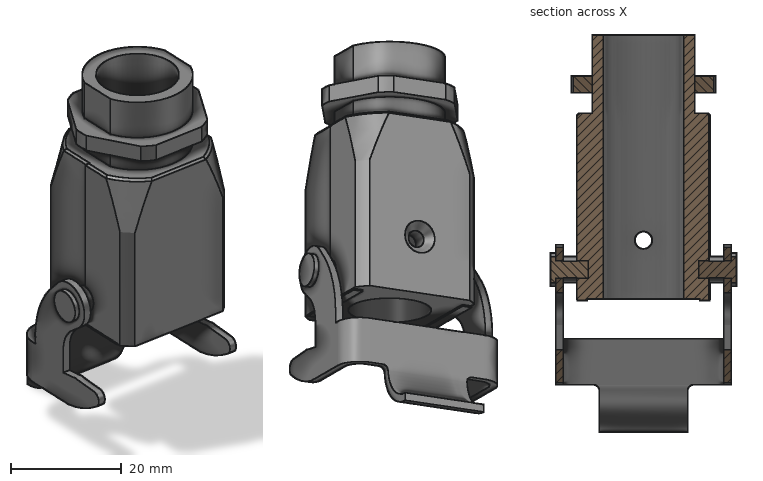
import cadquery as cq
import math


OVERSHOOT = 0.7

HOUSING_WIDTH = 23.95
HALF_SHIFT = 0.11
HOUSING_BOTTOM = 24.0
HOUSING_TOP = 57.6
TAPER_START = 47.75
CORNER_RADIUS = 15.7
SHOULDER_RADIUS = 13.4
TOP_CHAMFER = 0.4
FOOT_LENGTH = 18.15
FOOT_DEPTH = 1.85
FOOT_HEIGHT = 0.3
BORE_DIAMETER = 15.0

NECK_TOP = 71.7
NECK_DIAMETER = 20.0
NECK_FLATS = 18.6
NUT_BOTTOM = 61.2
NUT_TOP = 64.3
NUT_FLATS = 23.95
NUT_CORNER_DIAMETER = 26.2

SCREW_HEIGHT = 34.6
SCREW_DIAMETER = 3.1
SCREW_HEAD_DIAMETER = 6.0

STRAP_THICKNESS = 1.4
STRAP_BACK = -15.0
STRAP_WIDTH = 31.75
STRAP_BEND_RADIUS = 4.4
STRAP_BOTTOM = 8.5
STRAP_TOP = 16.85

HINGE_HEIGHT = 29.3
EYE_RADIUS = 4.5
EYE_BACK_ANGLE = 132
EYE_FRONT_ANGLE = -54
ARM_BACK = -9.7
ARM_FRONT = -1.6
BACK_ARC_START = (ARM_BACK, 18.7)
BACK_ARC_END = (-4.2, 31.4)
FRONT_ARC_START = (1.1, 24.5)
FRONT_ARC_END = (ARM_FRONT, 19.3)
HOOK_ROOT = (ARM_FRONT, 14.5)
HOOK_CREST_START = (1.1, 14.8)
HOOK_CREST_TOP = (1.8, 14.9)
HOOK_CREST_END = (2.5, 14.85)
HOOK_NOSE_START = (7.3, 14.55)
HOOK_NOSE_TIP = (8.7, 13.1)
HOOK_NOSE_END = (7.8, 11.6)
HOOK_BELLY = (3.95, 9.5)
HOOK_BELLY_END = (0.0, STRAP_BOTTOM)

GRIP_WIDTH = 16.0
GRIP_REACH = 8.25
GRIP_ROOT_FILLET = 1.1

PIN_DIAMETER = 4.8
PIN_HEAD_DIAMETER = 6.0
PIN_SPAN = 33.6
PIN_INNER_END = 10.05


def shifted_half(side):
    """Square half body on one X side of the seam, moved in Y to leave the step."""
    return (
        cq.Workplane("XY", origin=(0, 0, HOUSING_BOTTOM))
        .rect(HOUSING_WIDTH / 2, HOUSING_WIDTH)
        .extrude(HOUSING_TOP - HOUSING_BOTTOM)
        .translate((side * HOUSING_WIDTH / 4, -side * HALF_SHIFT, 0))
    )


def corner_envelope():
    """Cylinder with a conical top that rounds off the four corners of the body."""
    return (
        cq.Workplane("XZ")
        .moveTo(0, HOUSING_BOTTOM)
        .lineTo(CORNER_RADIUS, HOUSING_BOTTOM)
        .lineTo(CORNER_RADIUS, TAPER_START)
        .lineTo(SHOULDER_RADIUS, HOUSING_TOP)
        .lineTo(0, HOUSING_TOP)
        .close()
        .revolve(360, (0, 0, 0), (0, 1, 0))
    )


def feet():
    """Two low pads under the +Y and -Y sides."""
    foot_y = HOUSING_WIDTH / 2 - FOOT_DEPTH / 2
    return (
        cq.Workplane("XY", origin=(0, 0, HOUSING_BOTTOM))
        .pushPoints([(0, foot_y), (0, -foot_y)])
        .rect(FOOT_LENGTH, FOOT_DEPTH)
        .extrude(-FOOT_HEIGHT)
    )


def neck():
    """Round neck with a flat on its +Y and -Y sides."""
    height = NECK_TOP - HOUSING_TOP
    plane = cq.Workplane("XY", origin=(0, 0, HOUSING_TOP))
    flats = plane.rect(NECK_DIAMETER, NECK_FLATS).extrude(height)
    return plane.circle(NECK_DIAMETER / 2).extrude(height).intersect(flats)


def screw_hole():
    """Hole with a 45 degree countersink, from the -X face into the bore."""
    hole_radius = SCREW_DIAMETER / 2
    head_radius = SCREW_HEAD_DIAMETER / 2
    face = cq.Workplane("YZ", origin=(-HOUSING_WIDTH / 2, 0, SCREW_HEIGHT))
    hole = face.circle(hole_radius).extrude(HOUSING_WIDTH / 2)
    countersink = cq.Workplane(
        cq.Solid.makeCone(
            head_radius,
            hole_radius,
            head_radius - hole_radius,
            pnt=cq.Vector(-HOUSING_WIDTH / 2, 0, SCREW_HEIGHT),
            dir=cq.Vector(1, 0, 0),
        )
    )
    return hole.union(countersink)


def hinge_pin(side):
    """Headed pin on the hinge axis; side is +1 for +Y and -1 for -Y."""
    head_base = STRAP_WIDTH / 2
    shank = (
        cq.Workplane("XZ", origin=(0, side * PIN_INNER_END, HINGE_HEIGHT))
        .circle(PIN_DIAMETER / 2)
        .extrude(-side * (head_base - PIN_INNER_END))
    )
    head = (
        cq.Workplane("XZ", origin=(0, side * head_base, HINGE_HEIGHT))
        .circle(PIN_HEAD_DIAMETER / 2)
        .extrude(-side * (PIN_SPAN / 2 - head_base))
    )
    return shank.union(head)


def make_housing(pins):
    body = shifted_half(-1).union(shifted_half(1)).intersect(corner_envelope())
    body = body.faces(">Z").chamfer(TOP_CHAMFER).union(feet()).union(neck())
    bore = cq.Workplane("XY").circle(BORE_DIAMETER / 2).extrude(NECK_TOP + OVERSHOOT)
    body = body.cut(bore).cut(screw_hole())
    for pin in pins:
        body = body.cut(pin)
    return body


def make_nut():
    """Hexagon nut with rounded corners, its opening matching the neck."""
    height = NUT_TOP - NUT_BOTTOM
    plane = cq.Workplane("XY", origin=(0, 0, NUT_BOTTOM))
    hexagon_diameter = NUT_FLATS / math.cos(math.pi / 6)
    hexagon = plane.polygon(6, hexagon_diameter).extrude(height)
    hexagon = hexagon.rotate((0, 0, 0), (0, 0, 1), 30)
    blank = plane.circle(NUT_CORNER_DIAMETER / 2).extrude(height)
    return hexagon.intersect(blank).cut(neck())


def eye_point(angle):
    """Point (X, Z) on the lever eye at an angle in degrees from +X."""
    turn = math.radians(angle)
    return (EYE_RADIUS * math.cos(turn), HINGE_HEIGHT + EYE_RADIUS * math.sin(turn))


def lever_side_shape():
    """Side outline of arm, eye, hook and strap, as a block over the full width."""
    eye_middle_angle = (EYE_BACK_ANGLE + EYE_FRONT_ANGLE) / 2
    return (
        cq.Workplane("XZ")
        .moveTo(STRAP_BACK, STRAP_BOTTOM)
        .lineTo(STRAP_BACK, STRAP_TOP)
        .lineTo(ARM_BACK, STRAP_TOP)
        .lineTo(*BACK_ARC_START)
        .tangentArcPoint(BACK_ARC_END, relative=False)
        .lineTo(*eye_point(EYE_BACK_ANGLE))
        .threePointArc(eye_point(eye_middle_angle), eye_point(EYE_FRONT_ANGLE))
        .lineTo(*FRONT_ARC_START)
        .tangentArcPoint(FRONT_ARC_END, relative=False)
        .lineTo(*HOOK_ROOT)
        .lineTo(*HOOK_CREST_START)
        .threePointArc(HOOK_CREST_TOP, HOOK_CREST_END)
        .lineTo(*HOOK_NOSE_START)
        .threePointArc(HOOK_NOSE_TIP, HOOK_NOSE_END)
        .threePointArc(HOOK_BELLY, HOOK_BELLY_END)
        .close()
        .extrude(STRAP_WIDTH / 2, both=True)
    )


def bent_strap():
    """Tall U-shaped channel, open toward +X, that the side outline trims."""
    length = HOOK_NOSE_TIP[0] + OVERSHOOT - STRAP_BACK
    height = HINGE_HEIGHT + 2 * EYE_RADIUS
    outside = (
        cq.Workplane("XY")
        .box(length, STRAP_WIDTH, height, centered=(False, True, False))
        .edges("|Z and <X")
        .fillet(STRAP_BEND_RADIUS)
    )
    inside = (
        cq.Workplane("XY", origin=(STRAP_THICKNESS, 0, 0))
        .box(length, STRAP_WIDTH - 2 * STRAP_THICKNESS, height, centered=(False, True, False))
        .edges("|Z and <X")
        .fillet(STRAP_BEND_RADIUS - STRAP_THICKNESS)
    )
    return outside.cut(inside).translate((STRAP_BACK, 0, 0))


def finger_grip():
    """Strip below the strap, bent a quarter turn outward, with a flared root."""
    strap_front = STRAP_BACK + STRAP_THICKNESS
    tip = strap_front - GRIP_REACH
    outer_radius = (GRIP_REACH**2 + STRAP_BOTTOM**2) / (2 * STRAP_BOTTOM)
    inner_radius = outer_radius - STRAP_THICKNESS
    half_flare = GRIP_WIDTH / 2 + GRIP_ROOT_FILLET
    diagonal = math.sqrt(0.5)
    outer_middle = (tip + outer_radius * diagonal, outer_radius * (1 - diagonal))
    inner_middle = (tip + inner_radius * diagonal, outer_radius - inner_radius * diagonal)
    strip = (
        cq.Workplane("XZ")
        .moveTo(strap_front, STRAP_BOTTOM)
        .threePointArc(outer_middle, (tip, 0))
        .lineTo(tip, STRAP_THICKNESS)
        .threePointArc(inner_middle, (STRAP_BACK, STRAP_BOTTOM))
        .close()
        .extrude(half_flare, both=True)
    )
    for side in (-1, 1):
        edge = side * GRIP_WIDTH / 2
        corner = side * half_flare
        fillet_bottom = STRAP_BOTTOM - GRIP_ROOT_FILLET
        arc_inset = GRIP_ROOT_FILLET * (1 - diagonal)
        trim = (
            cq.Workplane("YZ", origin=(tip, 0, 0))
            .moveTo(edge, 0)
            .lineTo(edge, fillet_bottom)
            .threePointArc((edge + side * arc_inset, STRAP_BOTTOM - arc_inset), (corner, STRAP_BOTTOM))
            .lineTo(corner, 0)
            .close()
            .extrude(GRIP_REACH + OVERSHOOT)
        )
        strip = strip.cut(trim)
    return strip


def make_lever(pins):
    lever = lever_side_shape().intersect(bent_strap()).union(finger_grip())
    for pin in pins:
        lever = lever.cut(pin)
    return lever


hinge_pins = [hinge_pin(side) for side in (-1, 1)]
housing = make_housing(hinge_pins)
nut = make_nut()
lever = make_lever(hinge_pins)

result = cq.Compound.makeCompound(
    [
        housing.solids().val(),
        nut.solids().val(),
        lever.solids().val(),
        *[pin.solids().val() for pin in hinge_pins],
    ]
)